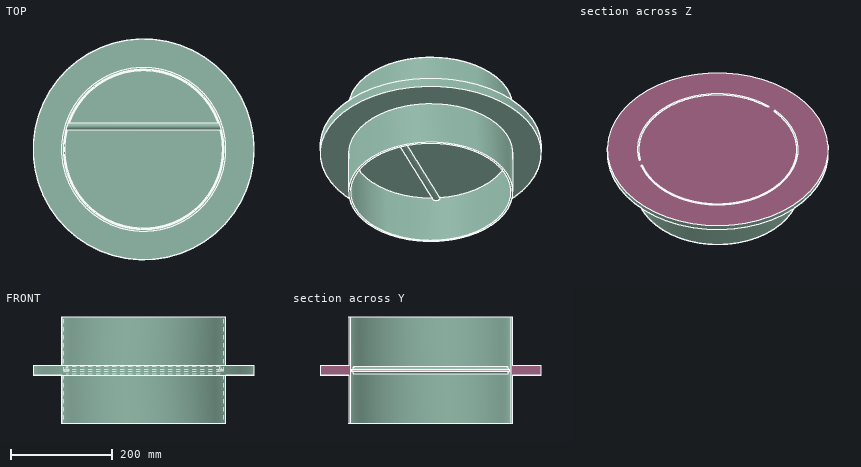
import cadquery as cq

sleeve_outer_diameter = 323
sleeve_bore_diameter = 315
sleeve_length = 210

flange_diameter = 435
flange_thickness = 20

flap_gap = 2
flap_diameter = sleeve_bore_diameter - 2 * flap_gap
flap_thickness = 4

rod_diameter = 15
rod_offset_y = 45
wall_middle_diameter = (sleeve_outer_diameter + sleeve_bore_diameter) / 2


def centred_disc(diameter, thickness):
    """Cylinder along Z, centred on the origin."""
    return cq.Workplane("XY", origin=(0, 0, -thickness / 2)).circle(diameter / 2).extrude(thickness)


def make_housing():
    """Sleeve and flange with the bore running right through."""
    sleeve = centred_disc(sleeve_outer_diameter, sleeve_length)
    flange = centred_disc(flange_diameter, flange_thickness)
    bore = centred_disc(sleeve_bore_diameter, sleeve_length)
    return sleeve.union(flange).cut(bore)


def make_rod():
    """Hinge rod whose ends follow the curve of the sleeve and sit inside its wall."""
    rod = (
        cq.Workplane("YZ", origin=(-sleeve_outer_diameter / 2, rod_offset_y, 0))
        .circle(rod_diameter / 2)
        .extrude(sleeve_outer_diameter)
    )
    return rod.intersect(centred_disc(wall_middle_diameter, sleeve_length))


flap = centred_disc(flap_diameter, flap_thickness)
result = make_housing().union(flap).union(make_rod())